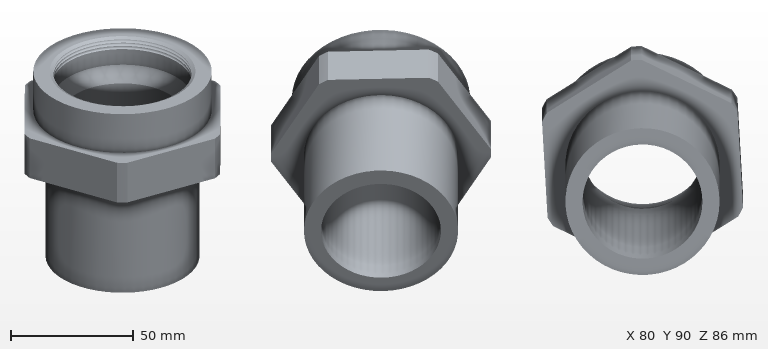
import cadquery as cq
import math

total_height = 86.0
spigot_height = 49.5
hex_height = 18.5
hex_top = spigot_height + hex_height

spigot_diameter = 63.0
hex_across_flats = 80.0
hex_across_corners = 90.0
hex_sharp_corners = hex_across_flats / math.cos(math.pi / 6)

ring_outer_diameter = 73.0
ring_wall = 1.5
ring_inner_diameter = ring_outer_diameter - 2 * ring_wall

bore_radius = 49.0 / 2
thread_crest_radius = 56.656 / 2
thread_root_radius = 59.614 / 2
thread_pitch = 1.5
groove_count = 3
socket_depth = 12.5
seat_half_angle = math.radians(30)
seat_height = (thread_crest_radius - bore_radius) / math.tan(seat_half_angle)


def make_hex_collar():
    """Upright hexagon with flats facing +X and -X and turned-off corners."""
    hexagon = (
        cq.Workplane("XY", origin=(0, 0, spigot_height))
        .polygon(6, hex_sharp_corners)
        .extrude(hex_height)
        .rotate((0, 0, 0), (0, 0, 1), 30)
    )
    corner_limit = (
        cq.Workplane("XY", origin=(0, 0, spigot_height))
        .circle(hex_across_corners / 2)
        .extrude(hex_height)
    )
    return hexagon.intersect(corner_limit)


def make_passage():
    """Revolved void: plain bore, conical seat, socket wall, V grooves and mouth chamfer."""
    half_pitch = thread_pitch / 2
    socket_floor = total_height - socket_depth
    profile = (
        cq.Workplane("XZ")
        .lineTo(bore_radius, 0)
        .lineTo(bore_radius, socket_floor - seat_height)
        .lineTo(thread_crest_radius, socket_floor)
    )
    for groove in range(groove_count, 0, -1):
        root_height = total_height - groove * thread_pitch
        profile = profile.lineTo(thread_crest_radius, root_height - half_pitch)
        profile = profile.lineTo(thread_root_radius, root_height)
    return (
        profile.lineTo(thread_crest_radius, total_height - half_pitch)
        .lineTo(thread_root_radius, total_height)
        .lineTo(0, total_height)
        .close()
        .revolve(360, (0, 0, 0), (0, 1, 0))
    )


def make_fitting():
    """Spigot, hexagon and socket in one piece with a passage right through."""
    spigot = cq.Workplane("XY").circle(spigot_diameter / 2).extrude(spigot_height)
    socket = (
        cq.Workplane("XY", origin=(0, 0, hex_top))
        .circle(ring_inner_diameter / 2)
        .extrude(total_height - hex_top)
    )
    return spigot.union(make_hex_collar()).union(socket).cut(make_passage())


def make_reinforcing_ring():
    """Thin ring around the socket, from the hexagon up to the socket mouth."""
    return (
        cq.Workplane("XY", origin=(0, 0, hex_top))
        .circle(ring_outer_diameter / 2)
        .circle(ring_inner_diameter / 2)
        .extrude(total_height - hex_top)
    )


fitting = make_fitting()
reinforcing_ring = make_reinforcing_ring()

result = cq.Compound.makeCompound([fitting.solids().val(), reinforcing_ring.val()])